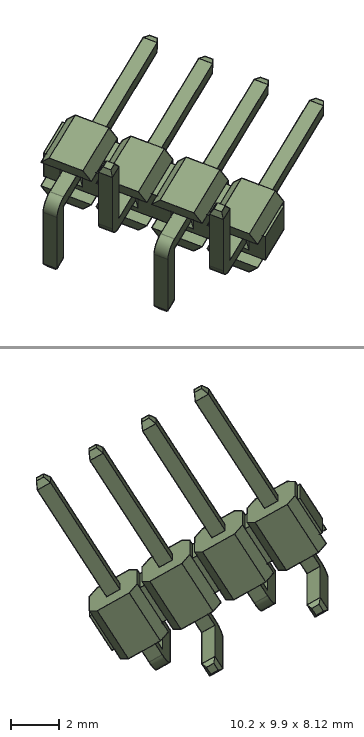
import cadquery as cq


pin_count = 4
row_length = 10.16
pitch = row_length / pin_count
bar_depth = 1.8
bar_height = 1.57
bar_setback = 0.2
block_depth = 2.5
block_height = 2.58
block_width = 2.32
block_flat_width = 1.54

pin_size = 0.64
pin_length = 9.9
tail_length = 5.86
leg_reach = 4.06
bend_radius = pin_size
tip_size = 0.36
tail_tip_length = 0.31
leg_tip_length = 0.27

funnel_size = 1.04
funnel_depth = (funnel_size - pin_size) / 2

bar_front_y = -(bar_setback + bar_depth)
leg_front_y = tail_length - pin_length
leg_center_y = leg_front_y + pin_size / 2


def make_frustum(origin, direction, base_size, end_size, length):
    """Square frustum starting at origin and narrowing along direction."""
    plane = cq.Plane(origin=origin, xDir=(1, 0, 0), normal=direction)
    return (
        cq.Workplane(plane)
        .rect(base_size, base_size)
        .workplane(offset=length)
        .rect(end_size, end_size)
        .loft(combine=True)
    )


def make_bar():
    """Straight bar joining all the blocks."""
    return (
        cq.Workplane("XY")
        .box(row_length, bar_depth, bar_height)
        .translate((0, bar_front_y + bar_depth / 2, 0))
    )


def make_block(x):
    """Eight-sided block whose top and bottom lips overhang the front of the bar."""
    half_width = block_width / 2
    half_flat = block_flat_width / 2
    half_height = block_height / 2
    half_side = bar_height / 2
    block = (
        cq.Workplane("XZ")
        .moveTo(-half_flat, half_height)
        .lineTo(half_flat, half_height)
        .lineTo(half_width, half_side)
        .lineTo(half_width, -half_side)
        .lineTo(half_flat, -half_height)
        .lineTo(-half_flat, -half_height)
        .lineTo(-half_width, -half_side)
        .lineTo(-half_width, half_side)
        .close()
        .extrude(block_depth)
    )
    lip_overhang = block_depth + bar_front_y
    front_gap = (
        cq.Workplane("XY")
        .box(block_width, lip_overhang, bar_height)
        .translate((0, bar_front_y - lip_overhang / 2, 0))
    )
    return block.cut(front_gap).translate((x, 0, 0))


def make_funnel(x):
    """Cutter for the tapered square mouth around a pin."""
    return make_frustum((x, bar_front_y, 0), (0, 1, 0), funnel_size, pin_size, funnel_depth)


def make_pin(x, points_up):
    """Square pin with a rounded outer elbow, a sharp inner corner and tapered ends."""
    half_size = pin_size / 2
    tail_shoulder_y = tail_length - tail_tip_length
    leg_shoulder_z = leg_reach - leg_tip_length
    pin = (
        cq.Workplane("YZ")
        .moveTo(tail_shoulder_y, half_size)
        .lineTo(leg_front_y + bend_radius, half_size)
        .radiusArc((leg_front_y, half_size - bend_radius), -bend_radius)
        .lineTo(leg_front_y, -leg_shoulder_z)
        .lineTo(leg_front_y + pin_size, -leg_shoulder_z)
        .lineTo(leg_front_y + pin_size, -half_size)
        .lineTo(tail_shoulder_y, -half_size)
        .close()
        .extrude(half_size, both=True)
    )
    tail_tip = make_frustum((0, tail_shoulder_y, 0), (0, 1, 0), pin_size, tip_size, tail_tip_length)
    leg_end = (0, leg_center_y, -leg_shoulder_z)
    leg_tip = make_frustum(leg_end, (0, 0, -1), pin_size, tip_size, leg_tip_length)
    pin = pin.union(tail_tip).union(leg_tip)
    if points_up:
        pin = pin.mirror("XY")
    return pin.translate((x, 0, 0))


pin_positions = [(index - (pin_count - 1) / 2) * pitch for index in range(pin_count)]

result = make_bar()
for x in pin_positions:
    result = result.union(make_block(x))
for x in pin_positions:
    result = result.cut(make_funnel(x))
for index, x in enumerate(pin_positions):
    result = result.union(make_pin(x, points_up=index % 2 == 1))